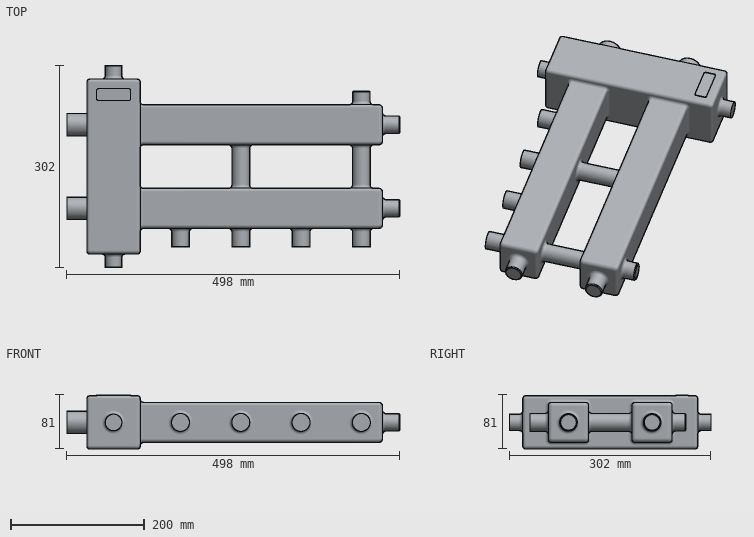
import cadquery as cq


overall_length = 498.0

header_width = 80.0
header_length = 262.0
header_edge_radius = 5.0

arm_size = 60.5
arm_spacing = 125.0
arm_end_x = 402.5
arm_edge_radius = 5.0
arm_end_radius = 6.0
arm_weld_radius = 4.5

inlet_diameter = 34.0
inlet_length = 30.0
vent_diameter = 25.0
vent_length = 20.0
pipe_diameter = 27.0
bevelled_diameter = 26.5
outlet_length = 27.5
rear_stub_length = 20.5
stub_end_chamfer = 1.5
outlet_count = 4
outlet_pitch = 90.0
last_outlet_x = 370.5
weld_radius = 5.0

plate_length = 51.0
plate_width = 18.0
plate_thickness = 1.0
plate_corner_radius = 3.0
plate_y = 107.5

header_side_x = header_width / 2
header_end_y = header_length / 2
end_stub_length = overall_length - inlet_length - header_side_x - arm_end_x
header_top_z = header_width / 2
rear_arm_y = arm_spacing / 2
front_arm_y = -rear_arm_y
arm_ys = (front_arm_y, rear_arm_y)
outlet_xs = [last_outlet_x - outlet_pitch * i for i in range(outlet_count)]
cross_pipe_xs = (outlet_xs[0], outlet_xs[2])
front_arm_front_y = front_arm_y - arm_size / 2
front_arm_back_y = front_arm_y + arm_size / 2
rear_arm_front_y = rear_arm_y - arm_size / 2
rear_arm_back_y = rear_arm_y + arm_size / 2
cross_pipe_length = rear_arm_front_y - front_arm_back_y


def make_header():
    """Square box with every edge rounded."""
    box = cq.Workplane("XY").box(header_width, header_length, header_width)
    return box.edges().fillet(header_edge_radius)


def make_arm(y):
    """Square bar from inside the header to its rounded free end."""
    bar = cq.Workplane("YZ", origin=(0, y, 0)).rect(arm_size, arm_size).extrude(arm_end_x)
    bar = bar.edges("|X").fillet(arm_edge_radius)
    return bar.faces(">X").edges().fillet(arm_end_radius)


def add_arm_welds(body):
    """Concave fillet where each arm meets the +X side of the header."""
    reach = arm_size / 2 + arm_weld_radius
    for y in arm_ys:
        near = cq.selectors.BoxSelector(
            (header_side_x - arm_weld_radius / 2, y - reach, -reach),
            (header_side_x + arm_weld_radius / 2, y + reach, reach),
        )
        body = body.edges(near).fillet(arm_weld_radius)
    return body


def make_weld(plane, radius):
    """Ring with a concave quarter-round outside, sitting at the foot of a pipe."""
    disc = cq.Workplane(plane).circle(radius + weld_radius).extrude(weld_radius)
    groove = cq.Solid.makeTorus(
        radius + weld_radius, weld_radius, plane.origin + plane.zDir * weld_radius, plane.zDir
    )
    return disc.cut(cq.Workplane(groove))


def make_stub(start, direction, diameter, length, end_chamfer=0.0, welded=True):
    """Round stub standing on a face, by default with a concave weld at its foot."""
    plane = cq.Plane(origin=start, xDir=(0, 0, 1), normal=direction)
    stub = cq.Workplane(plane).circle(diameter / 2).extrude(length)
    if end_chamfer:
        far_end = cq.selectors.DirectionMinMaxSelector(cq.Vector(*direction))
        stub = stub.faces(far_end).chamfer(end_chamfer)
    if welded:
        stub = stub.union(make_weld(plane, diameter / 2))
    return stub


def make_plate():
    """Thin name plate with rounded corners."""
    plate = cq.Workplane("XY", origin=(0, plate_y, header_top_z)).rect(plate_length, plate_width)
    return plate.extrude(plate_thickness).edges("|Z").fillet(plate_corner_radius)


body = make_header()
for arm_y in arm_ys:
    body = body.union(make_arm(arm_y))
body = add_arm_welds(body)

stubs = []
for arm_y in arm_ys:
    inlet_start = (-header_side_x, arm_y, 0)
    stubs.append(make_stub(inlet_start, (-1, 0, 0), inlet_diameter, inlet_length, welded=False))
    end_start = (arm_end_x, arm_y, 0)
    stubs.append(make_stub(end_start, (1, 0, 0), bevelled_diameter, end_stub_length, stub_end_chamfer))

for side in (-1, 1):
    vent_start = (0, side * header_end_y, 0)
    stubs.append(make_stub(vent_start, (0, side, 0), vent_diameter, vent_length))

for x in outlet_xs:
    outlet_start = (x, front_arm_front_y, 0)
    stubs.append(make_stub(outlet_start, (0, -1, 0), pipe_diameter, outlet_length))

for x in cross_pipe_xs:
    for y, side in ((front_arm_back_y, 1), (rear_arm_front_y, -1)):
        stubs.append(make_stub((x, y, 0), (0, side, 0), pipe_diameter, cross_pipe_length / 2))

rear_start = (last_outlet_x, rear_arm_back_y, 0)
stubs.append(make_stub(rear_start, (0, 1, 0), bevelled_diameter, rear_stub_length, stub_end_chamfer))

for stub in stubs:
    body = body.union(stub)

result = body.union(make_plate())